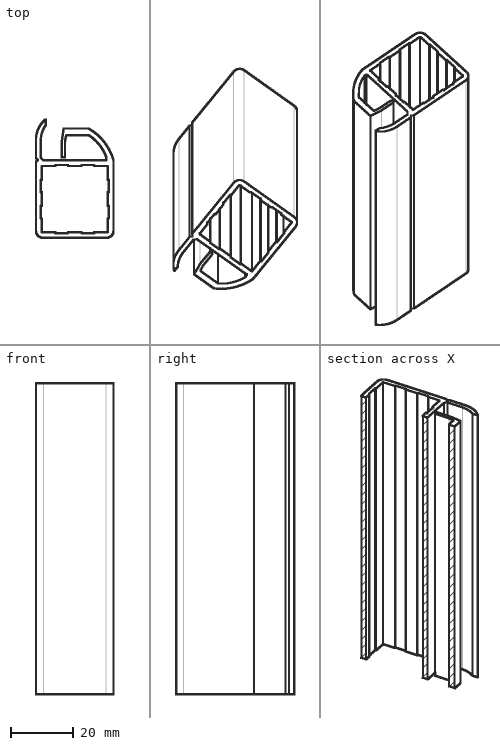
import cadquery as cq

length = 100.0
width = 25.0
lip_top = 38.0
corner_radius = 2.4

web_top = 25.0
cavity_size = 21.2
cavity_center = width / 2
groove_width = 4.0
groove_depth = 0.3
groove_offset = 4.2

wall = 1.6
lip_end_x = 3.2
lip_end_inner_y = 36.3
lip_tip_flat = 0.3
lip_arc_start_y = 31.5
lip_arc_mid = (0.8, 35.2)
lip_arc_inner_mid = (2.0, 33.8)
root_chamfer = 0.8

hook_top = 35.2
hook_thickness = 2.2
hook_bar_left = 8.9
hook_bar_right = 17.0
leg_left = 8.3
leg_thickness = 1.1
leg_bottom = 25.9
leg_bend_y = 31.1
leg_bend_shift = 0.9
hook_arc_mid = (21.8, 31.1)
hook_arc_inner_mid = (20.5, 29.8)
hook_inner_end = (22.6, 26.0)

notch_center_y = 25.1
notch_width = 1.3
notch_depth = 0.6


def extrude(outline):
    return outline.close().extrude(length)


def bore_block(x_offset, y_offset, x_size, y_size):
    """Full-length block placed relative to the bore's centre line."""
    center = (cavity_center + x_offset, cavity_center + y_offset)
    return cq.Workplane("XY").center(*center).rect(x_size, y_size).extrude(length)


def make_tube():
    """Square tube with a grooved bore and two rounded lower corners."""
    tube = (
        cq.Workplane("XY")
        .box(width, web_top, length, centered=False)
        .edges("|Z and <Y")
        .fillet(corner_radius)
    )
    tube = tube.cut(bore_block(0, 0, cavity_size, cavity_size))
    span = cavity_size + 2 * groove_depth
    for offset in (-groove_offset, groove_offset):
        tube = tube.cut(bore_block(0, offset, span, groove_width))
        tube = tube.cut(bore_block(offset, 0, groove_width, span))
    return tube


def make_lip():
    """Upright wall that curves inward to a vertical end face."""
    return extrude(
        cq.Workplane("XY")
        .moveTo(0, web_top - wall)
        .lineTo(0, lip_arc_start_y)
        .threePointArc(lip_arc_mid, (lip_end_x - lip_tip_flat, lip_top))
        .lineTo(lip_end_x, lip_top)
        .lineTo(lip_end_x, lip_end_inner_y)
        .threePointArc(lip_arc_inner_mid, (wall, lip_arc_start_y))
        .lineTo(wall, web_top + root_chamfer)
        .lineTo(wall + root_chamfer, web_top)
        .lineTo(wall + root_chamfer, web_top - wall)
    )


def make_hook():
    """Curved wall, flat bar and hanging leg with a slight bend."""
    bar_bottom = hook_top - hook_thickness
    leg_right = leg_left + leg_thickness
    return extrude(
        cq.Workplane("XY")
        .moveTo(width, web_top - wall)
        .lineTo(width, web_top)
        .threePointArc(hook_arc_mid, (hook_bar_right, hook_top))
        .lineTo(hook_bar_left, hook_top)
        .lineTo(leg_left, leg_bend_y)
        .lineTo(leg_left, leg_bottom)
        .lineTo(leg_right, leg_bottom)
        .lineTo(leg_right, leg_bend_y)
        .lineTo(hook_bar_left + leg_bend_shift, bar_bottom)
        .lineTo(hook_bar_right, bar_bottom)
        .threePointArc(hook_arc_inner_mid, hook_inner_end)
        .lineTo(hook_inner_end[0], web_top - wall)
    )


def make_notch():
    return extrude(
        cq.Workplane("XY")
        .moveTo(0, notch_center_y - notch_width / 2)
        .lineTo(notch_depth, notch_center_y)
        .lineTo(0, notch_center_y + notch_width / 2)
    )


result = make_tube().union(make_lip()).union(make_hook()).cut(make_notch())